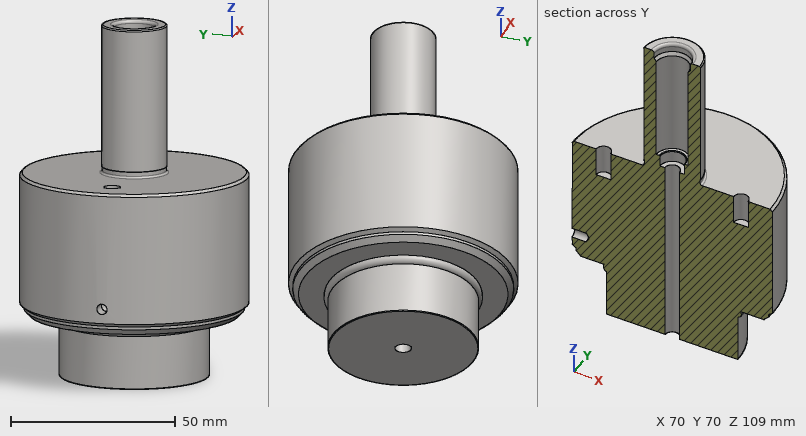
import cadquery as cq
import math

total_height = 109.0

spigot_radius = 46.0 / 2
spigot_edge_chamfer = 0.25
bead_bottom_z = 16.5
bead_middle_z = 18.2
bead_radius = 24.2
bead_top_radius = 24.0

body_bottom_z = 19.0
body_top_z = 63.0
body_radius = 70.0 / 2
body_top_chamfer = 0.8
base_chamfer = 1.75
collar_radius = 33.7
collar_height = 0.9
collar_cone_height = 1.0

shaft_radius = 20.0 / 2
shaft_tip_chamfer = 0.4
relief_radius = 19.7 / 2
relief_top_z = body_top_z + 1.9
root_fillet = 0.65

mouth_radius = 12.5 / 2
mouth_fillet = 1.0
mouth_depth = 2.9
mouth_cone_height = 1.1
bore_radius = 11.0 / 2
bore_depth = 40.0
counterbore_radius = 8.5 / 2
counterbore_depth = 4.0
counterbore_chamfer = 0.25
through_radius = 5.0 / 2

face_hole_diameter = 5.0
face_hole_offset = 24.0
face_hole_depth = 10.0

side_hole_diameter = 3.2
side_hole_z = 27.1
side_hole_depth = 5.0
side_hole_tip_angle = 118.0


def make_outer_shape():
    """Revolve the outer half profile of spigot, bead, body and shaft about Z."""
    collar_bottom_z = body_bottom_z + base_chamfer
    collar_top_z = collar_bottom_z + collar_height
    profile = (
        cq.Workplane("XZ")
        .moveTo(0, 0)
        .lineTo(spigot_radius - spigot_edge_chamfer, 0)
        .lineTo(spigot_radius, spigot_edge_chamfer)
        .lineTo(spigot_radius, bead_bottom_z)
        .threePointArc((bead_radius, bead_middle_z), (bead_top_radius, body_bottom_z))
        .lineTo(collar_radius - base_chamfer, body_bottom_z)
        .lineTo(collar_radius, collar_bottom_z)
        .lineTo(collar_radius, collar_top_z)
        .lineTo(body_radius, collar_top_z + collar_cone_height)
        .lineTo(body_radius, body_top_z - body_top_chamfer)
        .lineTo(body_radius - body_top_chamfer, body_top_z)
        .lineTo(relief_radius + root_fillet, body_top_z)
        .radiusArc((relief_radius, body_top_z + root_fillet), root_fillet)
        .lineTo(relief_radius, relief_top_z)
        .lineTo(shaft_radius, relief_top_z + shaft_radius - relief_radius)
        .lineTo(shaft_radius, total_height - shaft_tip_chamfer)
        .lineTo(shaft_radius - shaft_tip_chamfer, total_height)
        .lineTo(0, total_height)
        .close()
    )
    return profile.revolve(360, (0, 0, 0), (0, 1, 0))


def make_bore():
    """Revolve the stepped bore, from its rounded mouth down to the through hole."""
    mouth_floor_z = total_height - mouth_depth
    bore_floor_z = total_height - bore_depth
    counterbore_floor_z = bore_floor_z - counterbore_depth
    profile = (
        cq.Workplane("XZ")
        .moveTo(0, 0)
        .lineTo(through_radius, 0)
        .lineTo(through_radius, counterbore_floor_z)
        .lineTo(counterbore_radius, counterbore_floor_z)
        .lineTo(counterbore_radius, bore_floor_z - counterbore_chamfer)
        .lineTo(counterbore_radius + counterbore_chamfer, bore_floor_z)
        .lineTo(bore_radius, bore_floor_z)
        .lineTo(bore_radius, mouth_floor_z - mouth_cone_height)
        .lineTo(mouth_radius, mouth_floor_z)
        .lineTo(mouth_radius, total_height - mouth_fillet)
        .radiusArc((mouth_radius + mouth_fillet, total_height), mouth_fillet)
        .lineTo(0, total_height)
        .close()
    )
    return profile.revolve(360, (0, 0, 0), (0, 1, 0))


def make_face_holes():
    """Two blind holes on the X axis, sunk from the top face of the body."""
    return (
        cq.Workplane("XY", origin=(0, 0, body_top_z))
        .pushPoints([(-face_hole_offset, 0), (face_hole_offset, 0)])
        .circle(face_hole_diameter / 2)
        .extrude(-face_hole_depth)
    )


def make_side_hole():
    """Revolve a blind hole with a conical drill point, drilled inward from the -X side."""
    hole_radius = side_hole_diameter / 2
    tip_length = hole_radius / math.tan(math.radians(side_hole_tip_angle / 2))
    profile = (
        cq.Workplane("XZ", origin=(-body_radius, 0, side_hole_z))
        .moveTo(0, 0)
        .lineTo(side_hole_depth + tip_length, 0)
        .lineTo(side_hole_depth, hole_radius)
        .lineTo(0, hole_radius)
        .close()
    )
    return profile.revolve(360, (0, 0, 0), (1, 0, 0))


result = make_outer_shape().cut(make_bore()).cut(make_face_holes()).cut(make_side_hole())